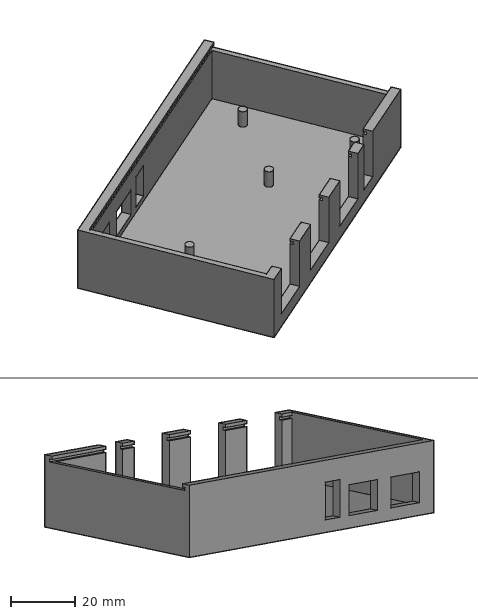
import cadquery as cq

LENGTH_X = 66.0
LENGTH_Y = 104.0
HEIGHT = 23.0
SIDE_WALL = 3.2
END_WALL = 1.8
FLOOR = 2.0

LIP_HEIGHT = 1.0
GROOVE_HEIGHT = 0.9
GROOVE_DEPTH = 1.0
TRACK_FLOOR_Z = HEIGHT - LIP_HEIGHT - GROOVE_HEIGHT

NOTCH_SILL_Z = 5.1
NOTCHES = [(6.0, 15.0), (30.1, 14.9), (54.0, 14.9), (73.8, 7.2)]
WINDOW_SILL_Z = 4.1
WINDOWS = [(6.0, 12.3, 9.8), (24.0, 12.0, 9.8), (39.9, 6.2, 12.0)]

PIN_DIAMETER = 2.9
PIN_LENGTH = 6.0
FIXED_PIN_CENTRES = [(36.1, 68.8), (55.0, 93.0), (17.1, 93.9)]
FREE_PIN_CENTRE = (28.2, 23.0)
FREE_PIN_GAP = 1.0


def block(x, y, z, size_x, size_y, size_z):
    """Box with its lowest corner at (x, y, z)."""
    return cq.Workplane("XY").box(size_x, size_y, size_z, centered=False).translate((x, y, z))


def lid_track():
    """Cutter with a wide groove below the narrower gap between the lips, open at +Y."""
    gap_width = LENGTH_X - 2 * SIDE_WALL
    groove_width = gap_width + 2 * GROOVE_DEPTH
    track_length = LENGTH_Y - END_WALL
    groove = block(
        SIDE_WALL - GROOVE_DEPTH, END_WALL, TRACK_FLOOR_Z, groove_width, track_length, GROOVE_HEIGHT
    )
    gap = block(SIDE_WALL, END_WALL, HEIGHT - LIP_HEIGHT, gap_width, track_length, LIP_HEIGHT)
    return groove.union(gap)


def make_pin(centre, bottom_z):
    x, y = centre
    return cq.Workplane("XY", origin=(x, y, bottom_z)).circle(PIN_DIAMETER / 2).extrude(PIN_LENGTH)


def make_tray():
    tray = block(0, 0, 0, LENGTH_X, LENGTH_Y, HEIGHT)
    cavity_x = LENGTH_X - 2 * SIDE_WALL
    cavity_y = LENGTH_Y - 2 * END_WALL
    tray = tray.cut(block(SIDE_WALL, END_WALL, FLOOR, cavity_x, cavity_y, HEIGHT - FLOOR))
    tray = tray.cut(lid_track())
    for y, length in NOTCHES:
        tray = tray.cut(
            block(LENGTH_X - SIDE_WALL, y, NOTCH_SILL_Z, SIDE_WALL, length, HEIGHT - NOTCH_SILL_Z)
        )
    for y, length, height in WINDOWS:
        tray = tray.cut(block(0, y, WINDOW_SILL_Z, SIDE_WALL, length, height))
    for centre in FIXED_PIN_CENTRES:
        tray = tray.union(make_pin(centre, FLOOR))
    return tray


tray = make_tray()
free_pin = make_pin(FREE_PIN_CENTRE, FLOOR + FREE_PIN_GAP)

result = cq.Compound.makeCompound([tray.val(), free_pin.val()])